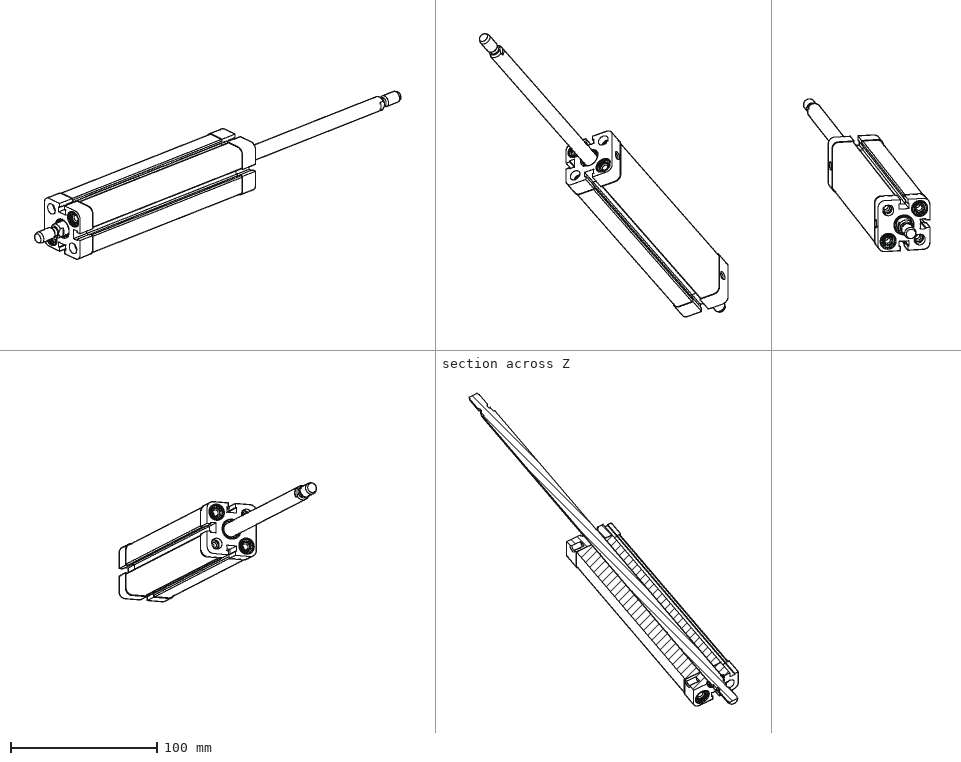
import cadquery as cq


overall_length = 332.1
cap_length = 12.0
barrel_length = 138.0
stroke = 125.0
body_length = barrel_length + 2 * cap_length
rod_projection = (overall_length - body_length - stroke) / 2

cap_size = 36.3
barrel_size = 35.3
corner_centre = 13.5
slot_mouth_width = 5.2
slot_width = 7.0
slot_lip_height = 15.2
slot_floor_height = 11.5
barrel_lip_chamfer = 0.9

rod_diameter = 10.0
thread_diameter = 8.0
neck_diameter = 6.0
tip_diameter = 6.5
tip_chamfer_length = 2.0
thread_end = 12.2
flat_end = 19.8
thread_run_out = 1.2
neck_length = 2.3
shoulder_chamfer_length = 1.6
across_flats = 8.0

hole_spacing = 22.0
thread_hole_diameter = 4.13
hole_mouth_diameter = 5.8
mouth_chamfer = (hole_mouth_diameter - thread_hole_diameter) / 2
plain_counterbore_diameter = 7.5
plain_counterbore_depth = 5.0
screw_counterbore_diameter = 11.1
screw_counterbore_depth = 1.0
screw_seat_diameter = 9.5
screw_seat_depth = 1.5
socket_diameter = 7.55
socket_depth = 2.0
rod_recess_diameter = 13.84
rod_recess_depth = 1.0
wiper_diameter = 12.0
wiper_depth = 2.0
thread_hole_depth = 10.0
port_from_face = 7.5
port_depth = 8.0

slot_turns = (0, 90, 180)
body_axis = (0, 1, 0)


def section_at(y):
    """Sketch plane facing +Y with X to the left and Z up."""
    return cq.Workplane(cq.Plane((0, y, 0), xDir=(-1, 0, 0), normal=(0, 1, 0)))


def block(size, start, length):
    """Square block with rounded long edges, from Y = start."""
    corner_radius = size / 2 - corner_centre
    return section_at(start).rect(size, size).extrude(length).edges("|Y").fillet(corner_radius)


def slot_cutter(start, length, top, lip_chamfer=0):
    """T-slot opening upwards at height `top`, with optionally bevelled lips."""
    mouth = slot_mouth_width / 2
    half_width = slot_width / 2
    right_side = [
        (half_width, slot_floor_height),
        (half_width, slot_lip_height),
        (mouth, slot_lip_height),
        (mouth, top - lip_chamfer),
    ]
    if lip_chamfer:
        right_side.append((mouth + lip_chamfer, top))
    left_side = [(-x, z) for x, z in reversed(right_side)]
    return section_at(start).polyline(right_side + left_side).close().extrude(length)


def cut_slots(body, cutter):
    for turn in slot_turns:
        body = body.cut(cutter.rotate((0, 0, 0), body_axis, turn))
    return body


def bore(diameter, depth, x=0, z=0, start=0):
    """Cylinder running in +Y from Y = start."""
    return section_at(start).center(-x, z).circle(diameter / 2).extrude(depth)


def chamfered_hole(depth):
    """Thread hole with a countersunk mouth, running in +Z from the origin."""
    profile = [
        (0, 0),
        (hole_mouth_diameter / 2, 0),
        (thread_hole_diameter / 2, mouth_chamfer),
        (thread_hole_diameter / 2, depth),
        (0, depth),
    ]
    return cq.Workplane("XZ").polyline(profile).close().revolve(360, (0, 0), (0, 1))


def stepped_hole(x, z, diameter, depth):
    """Counterbore with a thread hole in its floor, sunk into the face at Y = 0."""
    hole = chamfered_hole(thread_hole_depth - depth)
    hole = hole.rotate((0, 0, 0), (1, 0, 0), -90).translate((x, depth, z))
    return hole.union(bore(diameter, depth, x, z))


def make_cap():
    """Cap with its outer face on Y = 0."""
    cap = cut_slots(block(cap_size, 0, cap_length), slot_cutter(0, cap_length, cap_size / 2))
    cap = cap.cut(bore(rod_diameter, cap_length))
    cap = cap.cut(bore(rod_recess_diameter, rod_recess_depth))
    cap = cap.cut(bore(wiper_diameter, wiper_depth))
    offset = hole_spacing / 2
    for side in (-1, 1):
        cap = cap.cut(
            stepped_hole(side * offset, -side * offset, plain_counterbore_diameter, plain_counterbore_depth)
        )
        cap = cap.cut(bore(screw_counterbore_diameter, screw_counterbore_depth, side * offset, side * offset))
        cap = cap.cut(bore(screw_seat_diameter, screw_seat_depth, side * offset, side * offset))
        cap = cap.cut(stepped_hole(side * offset, side * offset, socket_diameter, socket_depth))
    port = chamfered_hole(port_depth).rotate((0, 0, 0), (0, 1, 0), 90)
    return cap.cut(port.translate((-cap_size / 2, port_from_face, 0)))


front_cap = make_cap()
rear_cap = make_cap().mirror("XZ").translate((0, body_length, 0))

barrel = cut_slots(
    block(barrel_size, cap_length, barrel_length),
    slot_cutter(cap_length, barrel_length, barrel_size / 2, barrel_lip_chamfer),
)
barrel = barrel.cut(bore(rod_diameter, barrel_length, start=cap_length))


def rod_half(length):
    """Rod along +Z from its threaded tip at the origin, with two wrench flats facing X."""
    neck_start = thread_end + thread_run_out
    neck_end = neck_start + neck_length
    profile = [
        (0, 0),
        (tip_diameter / 2, 0),
        (thread_diameter / 2, tip_chamfer_length),
        (thread_diameter / 2, thread_end),
        (neck_diameter / 2, neck_start),
        (neck_diameter / 2, neck_end),
        (thread_diameter / 2, neck_end),
        (rod_diameter / 2, neck_end + shoulder_chamfer_length),
        (rod_diameter / 2, length),
        (0, length),
    ]
    half = cq.Workplane("XZ").polyline(profile).close().revolve(360, (0, 0), (0, 1))
    flat_cutter = cq.Workplane("XY", origin=(0, 0, neck_end)).rect(2 * rod_diameter, 2 * rod_diameter)
    flat_cutter = flat_cutter.rect(across_flats, 2 * rod_diameter).extrude(flat_end - neck_end)
    return half.cut(flat_cutter)


half_length = overall_length / 2
rod = rod_half(half_length).rotate((0, 0, 0), (1, 0, 0), -90)
rod = rod.union(rod.mirror("XZ").translate((0, overall_length, 0)))
rod = rod.translate((0, -rod_projection, 0))

result = cq.Compound.makeCompound([front_cap.val(), rear_cap.val(), barrel.val(), rod.val()])